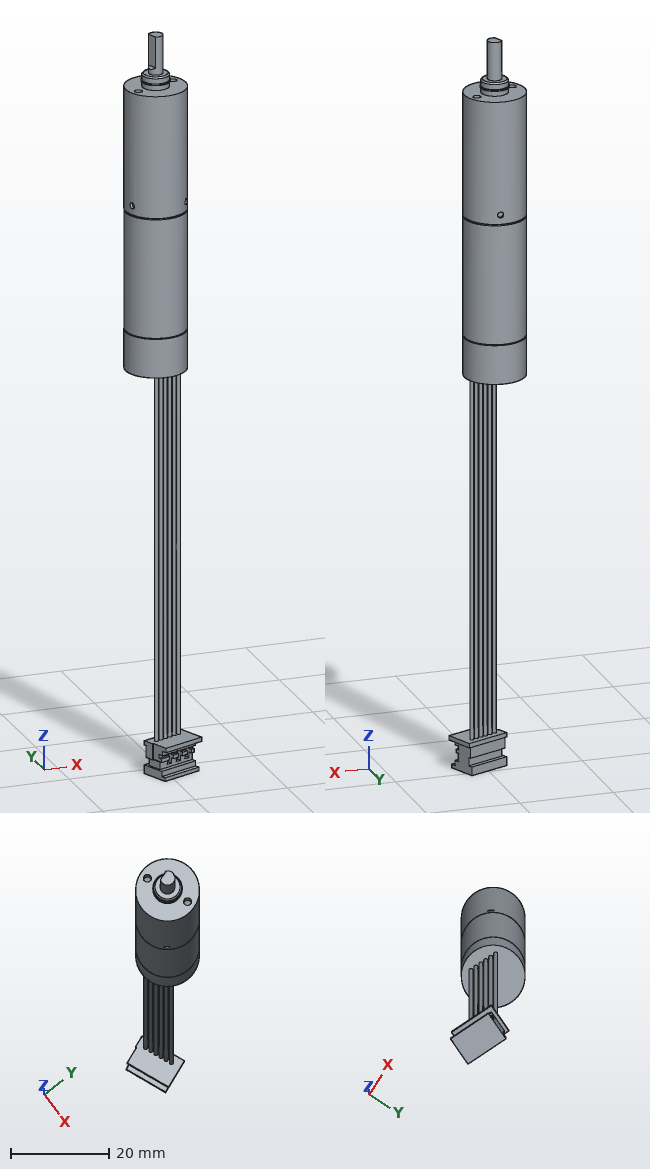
import cadquery as cq
import math

CLOCK_ANGLE = 22.5

UNIT_RADIUS = 6.5
GEARHEAD_LENGTH = 26.5
MOTOR_LENGTH = 26.2
COVER_LENGTH = 8.4
MOTOR_CHAMFER = 0.24

COLLAR_RADIUS = 2.9
COLLAR_HEIGHT = 2.9
COLLAR_CHAMFER = 0.3
RIM_RADIUS = 3.0
RIM_BOTTOM = 1.1
RIM_HEIGHT = 0.3

SHAFT_RADIUS = 1.5
SHAFT_TIP = 11.1
FLAT_DISTANCE = 1.03
FLAT_BOTTOM = 4.5
FLAT_ANGLE = 180 + CLOCK_ANGLE

MOUNT_HOLE_RADIUS = 0.8
MOUNT_HOLE_DEPTH = 2.4
MOUNT_HOLE_TIP_ANGLE = 118
MOUNT_CIRCLE_RADIUS = 4.8

DIMPLE_COUNT = 3
DIMPLE_RADIUS = 0.6
DIMPLE_DEPTH = 0.6
DIMPLE_Z = -24.5

WIRE_COUNT = 6
WIRE_PITCH = 1.213
WIRE_RADIUS = 0.42
WIRE_LENGTH = 79.3
WIRE_ROW_Y = -3.57

PLUG_LEFT = -4.9
PLUG_RIGHT = 4.5
PLUG_EAR_RIGHT = 5.15
PLUG_BACK = -1.9
PLUG_FRONT = -8.2
WAIST_BACK = -2.4
STEP_FRONT = -7.22
RIB_FRONT = -6.8
WAIST_FRONT = -6.2
BASE_TOP = 0.8
BASE_STEP_TOP = 1.9
RIB_BOTTOM = 3.6
RIB_TOP = 4.5
CAP_STEP_BOTTOM = 5.2
CAP_BOTTOM = 6.2
PLUG_HEIGHT = 7.1

SLOT_COUNT = 3
SLOT_PITCH = 2 * WIRE_PITCH
SLOT_WIDTH = 1.1
SLOT_DEPTH = 1.0
SLOT_BOTTOM = 2.5
FIRST_SLOT_X = -1.82

NOTCH_DEPTH = 0.5
RELIEF_DEPTH = 0.24
RELIEF_BACK = -4.5

motor_bottom = -GEARHEAD_LENGTH - MOTOR_LENGTH
cover_bottom = motor_bottom - COVER_LENGTH
plug_bottom = cover_bottom - WIRE_LENGTH - PLUG_HEIGHT


def disc(radius, bottom, height):
    return cq.Workplane().workplane(offset=bottom).circle(radius).extrude(height)


def turned(body, angle):
    return body.rotate((0, 0, 0), (0, 0, 1), angle)


def block(x_range, y_range, z_range):
    size = [high - low for low, high in (x_range, y_range, z_range)]
    corner = (x_range[0], y_range[0], z_range[0])
    return cq.Workplane().box(*size, centered=False).translate(corner)


def make_shaft():
    run_out = SHAFT_RADIUS - FLAT_DISTANCE
    shaft = disc(SHAFT_RADIUS, 0, SHAFT_TIP)
    flat_cut = (
        cq.Workplane("XZ")
        .moveTo(FLAT_DISTANCE, SHAFT_TIP)
        .lineTo(FLAT_DISTANCE, FLAT_BOTTOM)
        .lineTo(SHAFT_RADIUS, FLAT_BOTTOM - run_out)
        .lineTo(SHAFT_RADIUS, SHAFT_TIP)
        .close()
        .extrude(SHAFT_RADIUS, both=True)
    )
    return turned(shaft.cut(flat_cut), FLAT_ANGLE)


def make_mount_hole():
    tip_height = MOUNT_HOLE_RADIUS / math.tan(math.radians(MOUNT_HOLE_TIP_ANGLE / 2))
    return (
        cq.Workplane("XZ")
        .lineTo(MOUNT_HOLE_RADIUS, 0)
        .lineTo(MOUNT_HOLE_RADIUS, -MOUNT_HOLE_DEPTH)
        .lineTo(0, -MOUNT_HOLE_DEPTH - tip_height)
        .close()
        .revolve(360, (0, 0), (0, 1))
        .translate((MOUNT_CIRCLE_RADIUS, 0, 0))
    )


def make_dimple():
    return (
        cq.Workplane("YZ", origin=(UNIT_RADIUS - DIMPLE_DEPTH, 0, DIMPLE_Z))
        .circle(DIMPLE_RADIUS)
        .extrude(2 * DIMPLE_DEPTH)
    )


def make_motor_unit():
    gearhead = turned(disc(UNIT_RADIUS, -GEARHEAD_LENGTH, GEARHEAD_LENGTH), 180 + CLOCK_ANGLE)
    for angle in (CLOCK_ANGLE, CLOCK_ANGLE + 180):
        gearhead = gearhead.cut(turned(make_mount_hole(), angle))
    for index in range(DIMPLE_COUNT):
        angle = 180 + CLOCK_ANGLE + index * 360 / DIMPLE_COUNT
        gearhead = gearhead.cut(turned(make_dimple(), angle))

    collar = disc(COLLAR_RADIUS, 0, COLLAR_HEIGHT).faces(">Z").chamfer(COLLAR_CHAMFER)
    rim = disc(RIM_RADIUS, RIM_BOTTOM, RIM_HEIGHT)
    motor = disc(UNIT_RADIUS, motor_bottom, MOTOR_LENGTH).faces("<Z or >Z").chamfer(MOTOR_CHAMFER)
    motor = turned(motor, 180)
    cover = turned(disc(UNIT_RADIUS, cover_bottom, COVER_LENGTH), 180 + CLOCK_ANGLE)

    unit = gearhead
    for section in (collar, rim, make_shaft(), motor, cover):
        unit = unit.union(section)
    return unit


def make_wire(index):
    x = (index - (WIRE_COUNT - 1) / 2) * WIRE_PITCH
    wire = disc(WIRE_RADIUS, cover_bottom - WIRE_LENGTH, WIRE_LENGTH)
    return turned(wire.translate((x, WIRE_ROW_Y, 0)), CLOCK_ANGLE)


def make_plug():
    body_x = (PLUG_LEFT, PLUG_RIGHT)
    cap_x = (PLUG_LEFT, PLUG_EAR_RIGHT)
    notched_x = (PLUG_LEFT + NOTCH_DEPTH, PLUG_RIGHT)
    notched_y = (WAIST_FRONT, WAIST_BACK - NOTCH_DEPTH)
    plug = block(body_x, (PLUG_FRONT, PLUG_BACK), (0, BASE_TOP))
    upper_layers = (
        block(body_x, (STEP_FRONT, PLUG_BACK), (BASE_TOP, BASE_STEP_TOP)),
        block(notched_x, notched_y, (BASE_STEP_TOP, RIB_BOTTOM)),
        block(body_x, (RIB_FRONT, WAIST_BACK), (RIB_BOTTOM, RIB_TOP)),
        block(body_x, (WAIST_FRONT, WAIST_BACK), (RIB_TOP, CAP_STEP_BOTTOM)),
        block(body_x, (STEP_FRONT, WAIST_BACK), (CAP_STEP_BOTTOM, CAP_BOTTOM)),
        block(cap_x, (PLUG_FRONT, PLUG_BACK), (CAP_BOTTOM, PLUG_HEIGHT)),
    )
    for layer in upper_layers:
        plug = plug.union(layer)

    relief_x = (PLUG_LEFT, PLUG_LEFT + RELIEF_DEPTH)
    plug = plug.cut(block(relief_x, (PLUG_FRONT, RELIEF_BACK), (RIB_BOTTOM, PLUG_HEIGHT)))

    slot_y = (RIB_FRONT, WAIST_FRONT + SLOT_DEPTH)
    slot_z = (SLOT_BOTTOM, CAP_STEP_BOTTOM)
    for index in range(SLOT_COUNT):
        x = FIRST_SLOT_X + index * SLOT_PITCH
        plug = plug.cut(block((x - SLOT_WIDTH / 2, x + SLOT_WIDTH / 2), slot_y, slot_z))
    return turned(plug.translate((0, 0, plug_bottom)), CLOCK_ANGLE)


motor_unit = make_motor_unit()
wires = [make_wire(index) for index in range(WIRE_COUNT)]
plug = make_plug()

result = cq.Compound.makeCompound([motor_unit.val(), *[wire.val() for wire in wires], plug.val()])